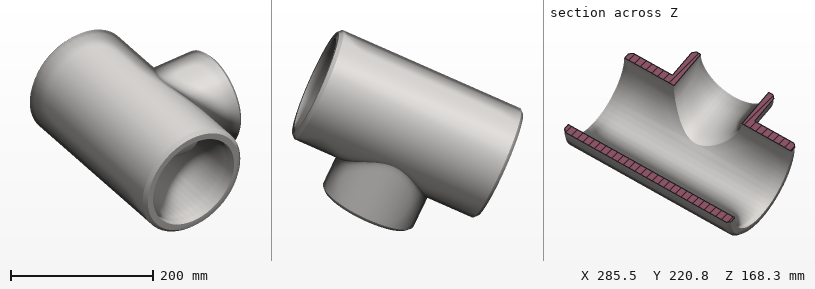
import cadquery as cq

run_length = 285.5
run_diameter = 168.28
run_bore = 139.7
branch_diameter = 141.3
branch_wall = 12.7
overall_width = 220.79
bevel = 5.0

branch_bore = branch_diameter - 2 * branch_wall
branch_reach = overall_width - run_diameter / 2


def run_cylinder(diameter):
    """Cylinder along X, centred on the origin and as long as the run."""
    return cq.Workplane("YZ").circle(diameter / 2).extrude(run_length / 2, both=True)


def branch_cylinder(diameter):
    """Cylinder from the run axis out to the branch end along +Y."""
    return cq.Workplane("XZ").circle(diameter / 2).extrude(-branch_reach)


run_body = run_cylinder(run_diameter).edges("%CIRCLE").chamfer(bevel)
branch_body = branch_cylinder(branch_diameter).faces(">Y").edges().chamfer(bevel)
body = run_body.union(branch_body)

result = body.cut(run_cylinder(run_bore)).cut(branch_cylinder(branch_bore))